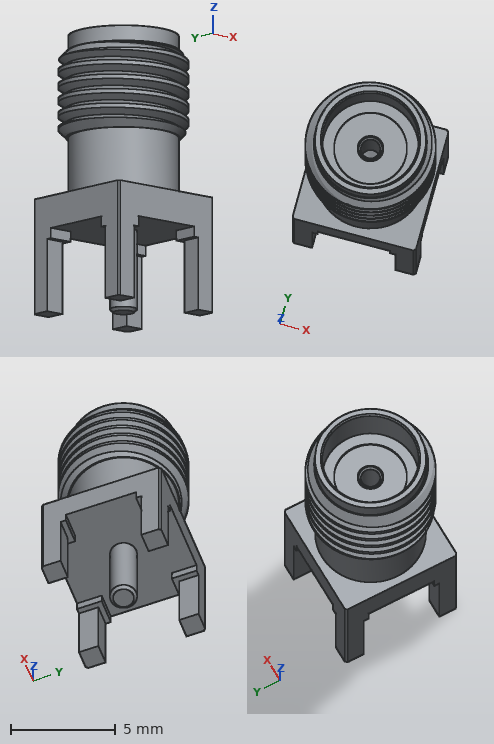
import cadquery as cq
import math


base_width = 6.1
corner_chamfer = 0.1
base_top = 5.6
base_underside = 4.02
shoulder_underside = 3.52
leg_gap = 4.12
shoulder_gap = 3.58

pin_radius = 0.65
pin_bottom = 0.05
pin_chamfer = 0.15

barrel_radius = 2.65
barrel_top = 13.5
bore_radius = 2.3
bore_depth = 1.93
bore_chamfer = 0.08

insulator_radius = 1.74
insulator_recess = 0.1
contact_radius = 0.62
contact_height = 0.03
socket_radius = 0.46
socket_mouth_radius = 0.56
socket_depth = 2.5
drill_point_angle = 118

thread_radius = 3.12
thread_bottom = 8.53
thread_top = 12.75
thread_end_chamfer = 0.42
inch = 25.4
threads_per_inch = 36
thread_pitch = inch / threads_per_inch
groove_root_radius = 2.69
groove_width = 0.5
groove_phase_height = 10.11
groove_overcut = 0.05
blank_margin = 3.0

quarter_turn = 90

bore_floor = barrel_top - bore_depth
insulator_top = bore_floor - insulator_recess
contact_top = insulator_top + contact_height


def cylinder(radius, bottom, top):
    """Solid cylinder on the barrel axis between two heights."""
    return cq.Workplane("XY").workplane(offset=bottom).circle(radius).extrude(top - bottom)


def turn(shape, angle):
    """Rotate a shape about the barrel axis."""
    return shape.rotate((0, 0, 0), (0, 0, 1), angle)


def make_base():
    """Square block, notched from below along X and Y so that four legs remain."""
    base = cq.Workplane("XY").rect(base_width, base_width).extrude(base_top)
    base = base.edges("|Z").chamfer(corner_chamfer)
    for gap, height in ((leg_gap, shoulder_underside), (shoulder_gap, base_underside)):
        for size_x, size_y in ((gap, base_width), (base_width, gap)):
            base = base.cut(cq.Workplane("XY").rect(size_x, size_y).extrude(height))
    return base


def make_pin():
    """Round solder pin with a chamfered tip, rooted in the base block."""
    pin = cylinder(pin_radius, pin_bottom, base_top)
    return pin.faces("<Z").chamfer(pin_chamfer)


def make_thread_groove():
    """V-shaped cutter on a left-handed helix that starts at +Y and runs past both thread ends."""
    turns_below = math.ceil((groove_phase_height - thread_bottom) / thread_pitch) + 1
    turns_above = math.ceil((thread_top - groove_phase_height) / thread_pitch) + 1
    start = groove_phase_height - turns_below * thread_pitch
    height = (turns_below + turns_above) * thread_pitch
    helix = cq.Wire.makeHelix(
        thread_pitch, height, groove_root_radius, center=cq.Vector(0, 0, start), lefthand=True
    )
    flank_slope = groove_width / 2 / (thread_radius - groove_root_radius)
    outer_radius = thread_radius + groove_overcut
    outer_half_width = flank_slope * (outer_radius - groove_root_radius)
    profile = cq.Workplane("XZ").polyline([
        (groove_root_radius, start),
        (outer_radius, start + outer_half_width),
        (outer_radius, start - outer_half_width),
    ]).close()
    groove = profile.sweep(cq.Workplane(obj=helix), isFrenet=True)
    return turn(groove, quarter_turn)


def make_thread():
    """Thread sleeve: a grooved blank trimmed to a cylinder with two chamfered ends."""
    blank = cylinder(thread_radius, thread_bottom - blank_margin, thread_top + blank_margin)
    grooved = turn(blank, -quarter_turn).cut(make_thread_groove())
    envelope = cylinder(thread_radius, thread_bottom, thread_top)
    envelope = envelope.faces("<Z or >Z").chamfer(thread_end_chamfer)
    return grooved.intersect(turn(envelope, -quarter_turn))


def make_bore():
    """Open mating bore with a chamfered mouth and a recessed insulator face."""
    mouth_radius = bore_radius + bore_chamfer
    return cq.Workplane("XZ").polyline([
        (0, barrel_top),
        (mouth_radius, barrel_top),
        (bore_radius, barrel_top - bore_chamfer),
        (bore_radius, bore_floor),
        (insulator_radius, bore_floor),
        (insulator_radius, insulator_top),
        (0, insulator_top),
    ]).close().revolve()


def make_socket_hole():
    """Blind contact hole with a 45 degree lead-in and a drill-point bottom."""
    lead_in = socket_mouth_radius - socket_radius
    hole_floor = contact_top - socket_depth
    point_depth = socket_radius / math.tan(math.radians(drill_point_angle / 2))
    return cq.Workplane("XZ").polyline([
        (0, contact_top),
        (socket_mouth_radius, contact_top),
        (socket_radius, contact_top - lead_in),
        (socket_radius, hole_floor),
        (0, hole_floor - point_depth),
    ]).close().revolve()


barrel = cylinder(barrel_radius, base_top, barrel_top)
contact = cylinder(contact_radius, insulator_top, contact_top)
body = make_base().union(make_pin()).union(barrel).union(make_thread())
result = body.cut(make_bore()).union(contact).cut(make_socket_hole())